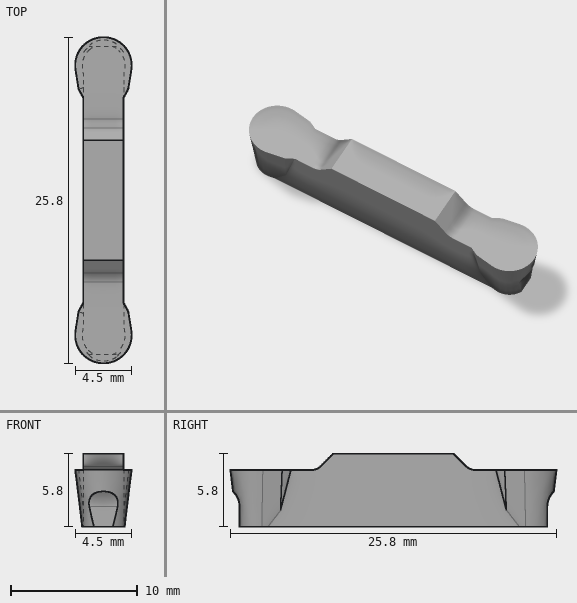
import cadquery as cq
import math

length = 25.8
height = 5.8
land_height = 4.51
body_width = 3.2

nose_radius = 2.25
relief_angle = 7.0
back_taper_angle = 8.0
shoulder_half_width = 1.973
shoulder_setback = 4.1
neck_setback = 4.8

ridge_setback = 8.15
ramp_run = height - land_height
ramp_fillet_radius = 1.0

flat_setback = 0.72
flat_height = 1.62
relief_arc_radius = 1.62

half_length = length / 2
nose_center_y = half_length - nose_radius


def make_body():
    """Straight bar with a raised centre, ending inside the heads."""
    ridge_y = half_length - ridge_setback
    foot_y = ridge_y + ramp_run
    body = (
        cq.Workplane("YZ")
        .moveTo(-nose_center_y, 0)
        .lineTo(nose_center_y, 0)
        .lineTo(nose_center_y, land_height)
        .lineTo(foot_y, land_height)
        .lineTo(ridge_y, height)
        .lineTo(-ridge_y, height)
        .lineTo(-foot_y, land_height)
        .lineTo(-nose_center_y, land_height)
        .close()
        .extrude(body_width / 2, both=True)
    )
    margin = ramp_run / 2
    ramp_feet = cq.selectors.BoxSelector(
        (-body_width, -foot_y - margin, land_height - margin),
        (body_width, foot_y + margin, land_height + margin),
    )
    return body.edges("|X").edges(ramp_feet).fillet(ramp_fillet_radius)


def make_head():
    """Head at the +Y end, narrowing downwards by the relief angle."""
    angle = math.radians(back_taper_angle)
    tangent_x = nose_radius * math.cos(angle)
    tangent_y = nose_center_y - nose_radius * math.sin(angle)
    shoulder_y = half_length - shoulder_setback
    neck_x = body_width / 2
    neck_y = half_length - neck_setback
    return (
        cq.Workplane("XY", origin=(0, 0, land_height))
        .moveTo(tangent_x, tangent_y)
        .threePointArc((0, half_length), (-tangent_x, tangent_y))
        .lineTo(-shoulder_half_width, shoulder_y)
        .lineTo(-neck_x, neck_y)
        .lineTo(neck_x, neck_y)
        .lineTo(shoulder_half_width, shoulder_y)
        .close()
        .extrude(-land_height, taper=relief_angle)
    )


def make_front_relief():
    """Cutter for the lower front of the +Y head."""
    flat_y = half_length - flat_setback
    arc_center_y = flat_y + relief_arc_radius
    arc_mid_offset = relief_arc_radius * math.sqrt(0.5)
    arc_mid = (arc_center_y - arc_mid_offset, flat_height + arc_mid_offset)
    return (
        cq.Workplane("YZ")
        .moveTo(flat_y, 0)
        .lineTo(flat_y, flat_height)
        .threePointArc(arc_mid, (arc_center_y, flat_height + relief_arc_radius))
        .lineTo(arc_center_y, 0)
        .close()
        .extrude(nose_radius, both=True)
    )


head = make_head().cut(make_front_relief())
opposite_head = head.mirror("XZ")
result = make_body().union(head).union(opposite_head)